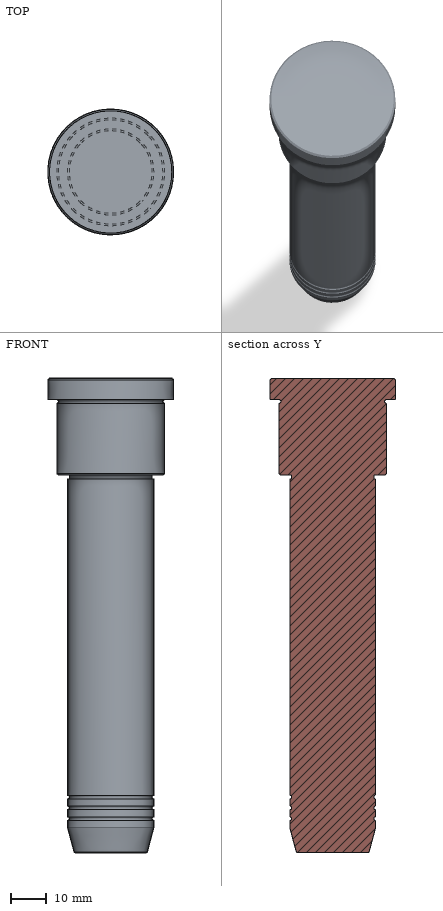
import cadquery as cq
import math

total_length = 132.0

head_diameter = 35.0
head_height = 6.0
head_chamfer = 0.5

collar_diameter = 30.0
collar_length = 21.0
collar_chamfer = 0.5
undercut_radius = 0.5

shank_diameter = 24.0
neck_diameter = 23.0
neck_width = 1.0

tip_length = 7.0
tip_angle = 15.0
tip_fillet = 0.5

groove_count = 3
groove_pitch = 3.0
groove_radius = 0.5
lowest_groove_center = 9.5

head_bottom = total_length - head_height
collar_bottom = head_bottom - collar_length
shank_top = collar_bottom - neck_width


def cylinder(diameter, bottom, top):
    return cq.Workplane("XY").workplane(offset=bottom).circle(diameter / 2).extrude(top - bottom)


def groove_cutter(diameter, center_height, radius):
    """Torus that cuts a half-round groove into a cylinder of the given diameter."""
    return (
        cq.Workplane("XZ")
        .center(diameter / 2, center_height)
        .circle(radius)
        .revolve(360, (-diameter / 2, 0, 0), (-diameter / 2, 1, 0))
    )


def make_head():
    return cylinder(head_diameter, head_bottom, total_length).faces(">Z").edges().chamfer(head_chamfer)


def make_collar():
    collar = cylinder(collar_diameter, collar_bottom, head_bottom)
    collar = collar.faces("<Z").edges().chamfer(collar_chamfer)
    undercut_center = head_bottom - undercut_radius
    return collar.cut(groove_cutter(collar_diameter, undercut_center, undercut_radius))


def make_shank():
    shank = cylinder(shank_diameter, tip_length, shank_top)
    for index in range(groove_count):
        center = lowest_groove_center + index * groove_pitch
        shank = shank.cut(groove_cutter(shank_diameter, center, groove_radius))
    return shank


def make_tip():
    shank_radius = shank_diameter / 2
    tip_radius = shank_radius - tip_length * math.tan(math.radians(tip_angle))
    return (
        cq.Workplane("XZ")
        .moveTo(0, 0)
        .lineTo(tip_radius, 0)
        .lineTo(shank_radius, tip_length)
        .lineTo(0, tip_length)
        .close()
        .revolve(360, (0, 0, 0), (0, 1, 0))
        .faces("<Z")
        .edges()
        .fillet(tip_fillet)
    )


neck = cylinder(neck_diameter, shank_top, collar_bottom)
result = make_head().union(make_collar()).union(neck).union(make_shank()).union(make_tip())